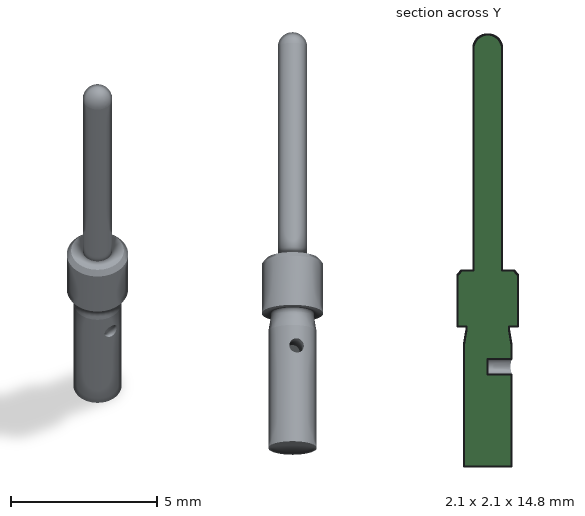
import cadquery as cq

total_height = 14.8
barrel_radius = 0.83
neck_radius = 0.74
collar_radius = 1.05
pin_radius = 0.5

barrel_top = 4.15
neck_bottom = 4.66
collar_bottom = 4.8
collar_top = 6.72

bevel_width = 0.15
bevel_height = 0.18

hole_diameter = 0.5
hole_height = 3.42


def turned_body():
    """Revolve the half profile: barrel, tapered neck, collar and round-tipped pin."""
    dome_base = total_height - pin_radius
    dome_middle = pin_radius * 0.5 ** 0.5
    profile = (
        cq.Workplane("XZ")
        .lineTo(barrel_radius, 0)
        .lineTo(barrel_radius, barrel_top)
        .lineTo(neck_radius, neck_bottom)
        .lineTo(neck_radius, collar_bottom)
        .lineTo(collar_radius, collar_bottom)
        .lineTo(collar_radius, collar_top - bevel_height)
        .lineTo(collar_radius - bevel_width, collar_top)
        .lineTo(pin_radius, collar_top)
        .lineTo(pin_radius, dome_base)
        .threePointArc((dome_middle, dome_base + dome_middle), (0, total_height))
        .close()
    )
    return profile.revolve(360, (0, 0), (0, 1))


def side_hole():
    """Cylinder from the barrel axis out past its +X side."""
    return (
        cq.Workplane("YZ")
        .center(0, hole_height)
        .circle(hole_diameter / 2)
        .extrude(collar_radius)
    )


result = turned_body().cut(side_hole())